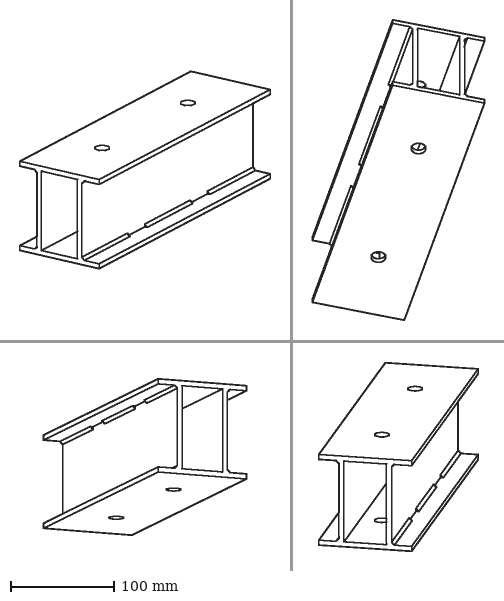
import cadquery as cq

length = 300.0
width = 92.0
height = 92.0
plate_thickness = 5.0
web_gap = 42.0
weld_leg = 2.85
weld_gap = 30.0
weld_count = 3
hole_diameter = 14.0

weld_length = (length - (weld_count - 1) * weld_gap) / weld_count
weld_pitch = weld_length + weld_gap
inner_height = height - 2 * plate_thickness
web_center_x = (web_gap + plate_thickness) / 2
web_outer_x = web_gap / 2 + plate_thickness
flange_center_z = (height - plate_thickness) / 2
flange_inner_z = inner_height / 2
hole_spacing = length / 2


def flange(side_z):
    """Full-length plate above (+1) or below (-1) the webs."""
    plate = cq.Workplane("XY").box(width, length, plate_thickness)
    return plate.translate((0, 0, side_z * flange_center_z))


def web(side_x):
    """Full-length upright plate joining the flanges."""
    plate = cq.Workplane("XY").box(plate_thickness, length, inner_height)
    return plate.translate((side_x * web_center_x, 0, 0))


def weld(side_x, side_z, center_y):
    """Triangular weld bead in the outer corner between a web and a flange."""
    corner_x = side_x * web_outer_x
    corner_z = side_z * flange_inner_z
    return (
        cq.Workplane("XZ", origin=(0, center_y, 0))
        .moveTo(corner_x, corner_z)
        .lineTo(corner_x + side_x * weld_leg, corner_z)
        .lineTo(corner_x, corner_z - side_z * weld_leg)
        .close()
        .extrude(weld_length / 2, both=True)
    )


result = flange(1).union(flange(-1)).union(web(1)).union(web(-1))

for side_x in (-1, 1):
    for side_z in (-1, 1):
        for index in range(weld_count):
            center_y = (index - (weld_count - 1) / 2) * weld_pitch
            result = result.union(weld(side_x, side_z, center_y))

holes = (
    cq.Workplane("XY")
    .pushPoints([(0, -hole_spacing / 2), (0, hole_spacing / 2)])
    .circle(hole_diameter / 2)
    .extrude(height, both=True)
)
result = result.cut(holes)